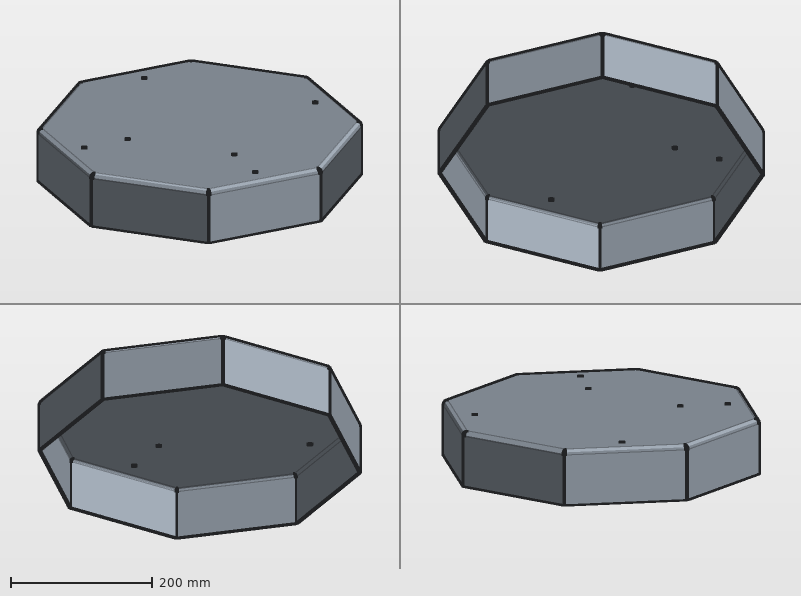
import cadquery as cq
import math

across_flats = 426.0
height = 81.0

thickness = 3.0
bend_radius = 7.0
inner_bend_radius = bend_radius - thickness
side_count = 8
corner_gap = 0.15

outer_hole_diameter = 7.0
outer_hole_offset = 128.2
inner_hole_diameter = 6.5
inner_hole_offset = 80.0

apothem = across_flats / 2
plate_apothem = apothem - bend_radius
side_angle = 360 / side_count
side_per_apothem = 2 * math.tan(math.pi / side_count)
bend_width = plate_apothem * side_per_apothem
wall_width = (apothem - thickness) * side_per_apothem - corner_gap
bend_bottom = height - bend_radius


def make_plate():
    """Flat octagonal top with a side facing each axis direction."""
    corner_radius = plate_apothem / math.cos(math.pi / side_count)
    return (
        cq.Workplane("XY")
        .workplane(offset=height - thickness)
        .transformed(rotate=(0, 0, side_angle / 2))
        .polygon(side_count, 2 * corner_radius)
        .extrude(thickness)
    )


def make_bend():
    """Quarter-round bend along the +X side of the plate."""
    diagonal = math.sqrt(0.5)
    outer_mid = bend_radius * diagonal
    inner_mid = inner_bend_radius * diagonal
    return (
        cq.Workplane("XZ", origin=(plate_apothem, 0, bend_bottom))
        .moveTo(0, bend_radius)
        .threePointArc((outer_mid, outer_mid), (bend_radius, 0))
        .lineTo(inner_bend_radius, 0)
        .threePointArc((inner_mid, inner_mid), (0, inner_bend_radius))
        .close()
        .extrude(bend_width / 2, both=True)
    )


def make_wall():
    """Vertical wall hanging below the +X bend, slightly wider than the bend."""
    return cq.Workplane("XY").box(
        thickness, wall_width, bend_bottom, centered=(True, True, False)
    ).translate((apothem - thickness / 2, 0, 0))


def make_hole(x, y, diameter):
    """Cutter for a round hole through the top plate."""
    return cq.Workplane("XY").center(x, y).circle(diameter / 2).extrude(height)


result = make_plate()
flange = make_bend().union(make_wall())
for side in range(side_count):
    result = result.union(flange.rotate((0, 0, 0), (0, 0, 1), side * side_angle))

for x_sign in (-1, 1):
    for y_sign in (-1, 1):
        result = result.cut(
            make_hole(x_sign * outer_hole_offset, y_sign * outer_hole_offset, outer_hole_diameter)
        )
    result = result.cut(
        make_hole(x_sign * inner_hole_offset, -inner_hole_offset, inner_hole_diameter)
    )